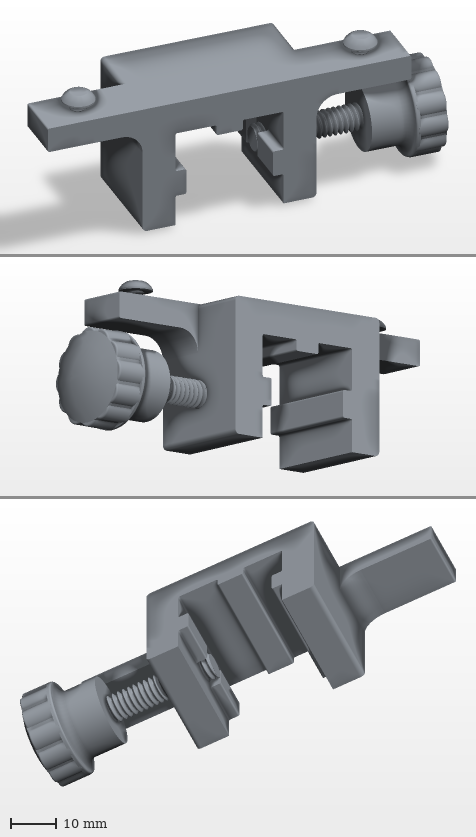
import cadquery as cq
block_depth = 25.0
block_length = 41.4
block_height = 31.1
leg_thickness = 7.8
bridge_thickness = 7.7
block_corner_radius = 1.1
slot_edge_radius = 0.4

tab_width = 6.3
tab_height = 2.55
tab_notch_width = 6.9

arm_span = 86.5
arm_width = 12.1
arm_thickness = 6.0
arm_root_radius = 5.0
arm_end_radius = 0.4

knob_axis_x = block_depth / 2
knob_axis_z = -20.5
knob_lobe_count = 12
knob_radius = 11.2
knob_core_radius = 10.3
knob_lobe_radius = 2.9
knob_edge_radius = 0.4
overall_length = 98.1
dome_tip_y = overall_length - arm_span / 2
dome_height = 2.1
grip_length = 7.6
flange_radius = 11.1
flange_thickness = 1.0
hub_radius = 8.0
hub_flare_radius = 2.0
hub_end_y = 35.7
clamp_screw_diameter = 6.4
clamp_screw_pitch = 1.3

button_spacing = 67.1
button_head_diameter = 7.65
button_flat_diameter = 4.0
button_head_height = 2.2
button_rim_height = 0.4
button_dome_radius = 3.1
button_top_z = 4.2
button_shank_diameter = 4.1
button_screw_pitch = 0.8
button_embed_depth = 2.0
button_head_overlap = 0.2

thread_depth_ratio = 0.6

slot_half = block_length / 2 - leg_thickness
tab_half = tab_width / 2
tab_inner_y = slot_half - tab_height
arm_x = block_depth - arm_width


def clamp_block():
    """U-shaped block with grip tabs on the legs and under the bridge."""
    body = (
        cq.Workplane("XY")
        .box(block_depth, block_length, block_height, centered=(False, True, False))
        .translate((0, 0, -block_height))
        .edges("|X")
        .fillet(block_corner_radius)
    )
    half_slot = [
        (tab_half, -bridge_thickness - tab_height),
        (tab_half, -bridge_thickness),
        (slot_half, -bridge_thickness),
        (slot_half, knob_axis_z + tab_half),
        (tab_inner_y, knob_axis_z + tab_half),
        (tab_inner_y, knob_axis_z - tab_half),
        (slot_half, knob_axis_z - tab_half),
        (slot_half, -block_height),
    ]
    mirrored_half = [(-y, z) for y, z in reversed(half_slot)]
    slot = cq.Workplane("YZ").polyline(half_slot + mirrored_half).close().extrude(block_depth)
    above_leg_ends = cq.selectors.BoxSelector(
        (-1, -block_length, -block_height + 1), (block_depth + 1, block_length, 0)
    )
    slot = slot.edges("|X").edges(above_leg_ends).fillet(slot_edge_radius)
    notch = (
        cq.Workplane("XY")
        .box(tab_notch_width, tab_height, 2 * tab_width, centered=(True, False, True))
        .translate((knob_axis_x, tab_inner_y, knob_axis_z))
    )
    return body.cut(slot).cut(notch)


def arms():
    """Bar along the +X side, flared by a concave fillet where it meets each leg."""
    root_y = block_length / 2
    bar = (
        cq.Workplane("XY")
        .box(arm_width, arm_span, arm_thickness, centered=(False, True, False))
        .translate((arm_x, 0, -arm_thickness))
        .edges("|X")
        .fillet(arm_end_radius)
    )
    flare = (
        cq.Workplane("YZ", origin=(arm_x, 0, 0))
        .moveTo(root_y + arm_root_radius, -arm_thickness)
        .radiusArc((root_y, -arm_thickness - arm_root_radius), -arm_root_radius)
        .hLine(-leg_thickness / 2)
        .vLine(arm_root_radius + arm_thickness / 2)
        .hLine(leg_thickness / 2 + arm_root_radius)
        .close()
        .extrude(arm_width)
    )
    return bar.union(flare).union(flare.mirror("XZ"))


def threaded_rod(diameter, pitch, length):
    """Rod from Z = 0 up, made by twisting the cross-section of a single-start thread.

    One turn of the section falls from crest to root and rises again, so twisting it
    once per pitch leaves a helical V groove.
    """
    crest = diameter / 2
    root = crest - thread_depth_ratio * pitch
    middle = (crest + root) / 2
    section = (
        cq.Workplane("XY")
        .moveTo(crest, 0)
        .threePointArc((0, middle), (-root, 0))
        .threePointArc((0, -middle), (crest, 0))
        .close()
    )
    return section.twistExtrude(length, 360 * length / pitch)


def knob_lobe():
    """Upright round lobe standing on Z = 0, its top rim rounded and its seam facing -X."""
    lobe = cq.Workplane("XY").circle(knob_lobe_radius).extrude(grip_length - flange_thickness / 2)
    return lobe.faces(">Z").edges().fillet(knob_edge_radius).rotate((0, 0, 0), (0, 0, 1), 180)


def clamp_knob():
    """Knob and screw along Z, turned so that the knob tip points to +Y."""
    tip = dome_tip_y - tab_inner_y
    grip_top = tip - dome_height
    grip_base = grip_top - grip_length
    hub_base = hub_end_y - tab_inner_y
    dome_sphere_radius = (knob_core_radius**2 + dome_height**2) / (2 * dome_height)
    knob = (
        cq.Workplane("XZ")
        .moveTo(0, hub_base)
        .hLine(hub_radius)
        .lineTo(hub_radius, grip_base - hub_flare_radius)
        .radiusArc((hub_radius + hub_flare_radius, grip_base), hub_flare_radius)
        .hLineTo(flange_radius - knob_edge_radius)
        .radiusArc((flange_radius, grip_base + knob_edge_radius), -knob_edge_radius)
        .lineTo(flange_radius, grip_base + flange_thickness)
        .hLineTo(knob_core_radius)
        .lineTo(knob_core_radius, grip_top)
        .radiusArc((0, tip), -dome_sphere_radius)
        .close()
        .revolve(360, (0, 0, 0), (0, 1, 0))
    )
    lobe = knob_lobe().translate(
        (knob_radius - knob_lobe_radius, 0, grip_base + flange_thickness / 2)
    )
    for index in range(knob_lobe_count):
        knob = knob.union(lobe.rotate((0, 0, 0), (0, 0, 1), index * 360 / knob_lobe_count))
    knob = knob.union(threaded_rod(clamp_screw_diameter, clamp_screw_pitch, hub_base))
    knob = knob.rotate((0, 0, 0), (1, 0, 0), -90)
    return knob.translate((knob_axis_x, tab_inner_y, knob_axis_z))


def button_screw():
    """Button-head screw along Z, its shank sunk into the arm below Z = 0."""
    rim_z = button_top_z - button_head_height
    head_radius = button_head_diameter / 2
    head = (
        cq.Workplane("XZ")
        .moveTo(0, rim_z)
        .hLine(head_radius)
        .vLine(button_rim_height)
        .radiusArc((button_flat_diameter / 2, button_top_z), -button_dome_radius)
        .hLineTo(0)
        .close()
        .revolve(360, (0, 0, 0), (0, 1, 0))
    )
    shank_length = button_embed_depth + rim_z + button_head_overlap
    rod = threaded_rod(button_shank_diameter, button_screw_pitch, shank_length)
    return head.union(rod.translate((0, 0, -button_embed_depth)))


result = clamp_block().union(arms()).union(clamp_knob())
for side in (-1, 1):
    place = (arm_x + arm_width / 2, side * button_spacing / 2, 0)
    result = result.union(button_screw().translate(place))